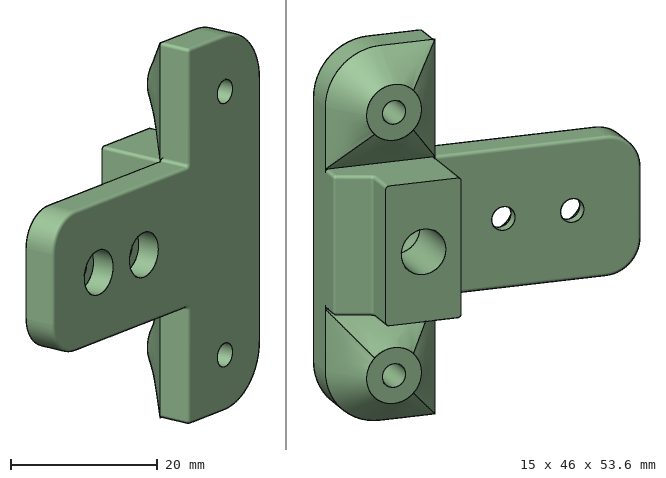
import cadquery as cq
import math

depth = 15.0
length = 46.0
height = 53.6
plate_thickness = 5.0
body_width = 15.95
arm_height = 20.0
arm_corner_radius = 5.0
edge_radius = 0.5

boss_tip_x = 4.7
boss_tip_diameter = 8.0
screw_hole_diameter = 3.4
arm_hole_offsets = (25.95, 35.95)
counterbore_diameter = 6.4
counterbore_floor = 1.6

step_width = 5.0
slope_front_x = 4.75
slope_back_x = 6.7
socket_diameter = 6.5
socket_offset = 10.5
socket_depth = 10.0
drill_point_angle = 118.0

plate_front_x = depth - plate_thickness
body_min_y = length - body_width
body_center_y = length - body_width / 2
body_corner_radius = 7.95
half_height = height / 2
half_arm = arm_height / 2
boss_center_z = half_height - body_width / 2


def section_plane(x):
    """YZ plane at the given X, with local axes along Y and Z."""
    return cq.Workplane("YZ", origin=(x, 0, 0))


def make_body():
    """Upright slab with large corners at +Y and small ones at -Y."""
    slab = (
        section_plane(plate_front_x)
        .center(body_center_y, 0)
        .rect(body_width, height)
        .extrude(plate_thickness)
    )
    slab = slab.edges("|X and >Y").fillet(body_corner_radius)
    return slab.edges("|X and <Y").fillet(edge_radius)


def make_arm():
    """Flat arm with a rounded outer end, running into the body."""
    arm = (
        section_plane(plate_front_x)
        .center(body_center_y / 2, 0)
        .rect(body_center_y, arm_height)
        .extrude(plate_thickness)
    )
    return arm.edges("|X and <Y").fillet(arm_corner_radius)


def make_plate():
    """Body and arm with blended inner corners; only the body keeps a sharp front rim."""
    plate = make_body().union(make_arm())
    for side in (-1, 1):
        inner_corner = (depth - plate_thickness / 2, body_min_y, side * half_arm)
        plate = plate.edges(cq.selectors.NearestToPointSelector(inner_corner)).fillet(edge_radius)
    plate = plate.faces("<X or >X").edges().fillet(edge_radius)
    body = make_body().faces(">X").edges().fillet(edge_radius)
    return plate.union(body)


def make_boss():
    """Upper boss: ruled transition from the plate outline to a round tip."""
    def tip_point(angle):
        radius = boss_tip_diameter / 2
        return cq.Vector(
            boss_tip_x,
            body_center_y + radius * math.cos(math.radians(angle)),
            boss_center_z + radius * math.sin(math.radians(angle)),
        )

    def base_point(y, z):
        return cq.Vector(plate_front_x, y, z)

    round_center_y = length - body_corner_radius
    round_center_z = half_height - body_corner_radius
    diagonal = body_corner_radius * math.sqrt(0.5)
    corner_middle = base_point(round_center_y + diagonal, round_center_z + diagonal)
    base_corners = [
        base_point(length, round_center_z),
        base_point(round_center_y, half_height),
        base_point(body_min_y, half_height),
        base_point(body_min_y, half_arm),
        base_point(length, half_arm),
    ]
    tip_angles = [0, 90, 135, 225, 315, 360]

    base_edges = [cq.Edge.makeThreePointArc(base_corners[0], corner_middle, base_corners[1])]
    for start, end in zip(base_corners[1:], base_corners[2:] + base_corners[:1]):
        base_edges.append(cq.Edge.makeLine(start, end))
    tip_edges = []
    for start, end in zip(tip_angles, tip_angles[1:]):
        middle = tip_point((start + end) / 2)
        tip_edges.append(cq.Edge.makeThreePointArc(tip_point(start), middle, tip_point(end)))

    wires = [cq.Wire.assembleEdges(base_edges), cq.Wire.assembleEdges(tip_edges)]
    return cq.Workplane(obj=cq.Solid.makeLoft(wires, True))


def make_block():
    """Central block with a sloped shoulder on its +Y side."""
    step_y = length - step_width
    block = (
        cq.Workplane("XY", origin=(0, 0, -half_arm))
        .moveTo(0, body_min_y)
        .lineTo(0, step_y)
        .lineTo(slope_front_x, step_y)
        .lineTo(slope_back_x, length)
        .lineTo(plate_front_x, length)
        .lineTo(plate_front_x, body_min_y)
        .close()
        .extrude(arm_height)
    )
    shoulder_crest = cq.selectors.NearestToPointSelector((slope_back_x, length, 0))
    block = block.edges("|Z").edges(shoulder_crest).fillet(edge_radius)
    shoulder_root = cq.selectors.NearestToPointSelector((slope_front_x, step_y, 0))
    block = block.edges("|Z").edges(shoulder_root).fillet(edge_radius)
    rim = block.faces("<Z or >Z").edges("not <X")
    return rim.edges("not >X").fillet(edge_radius)


def make_socket():
    """Blind drilled socket with a conical bottom."""
    radius = socket_diameter / 2
    tip_depth = radius / math.tan(math.radians(drill_point_angle / 2))
    return (
        cq.Workplane("XY")
        .polyline([(0, 0), (0, radius), (socket_depth, radius), (socket_depth + tip_depth, 0)])
        .close()
        .revolve(360, (0, 0), (1, 0))
        .translate((0, length - socket_offset, 0))
    )


def make_screw_holes():
    """Through holes in both bosses and along the arm, the latter counterbored from the back."""
    boss_centers = [(body_center_y, boss_center_z), (body_center_y, -boss_center_z)]
    arm_centers = [(length - offset, 0) for offset in arm_hole_offsets]
    holes = (
        section_plane(0)
        .pushPoints(boss_centers + arm_centers)
        .circle(screw_hole_diameter / 2)
        .extrude(depth)
    )
    counterbores = (
        section_plane(plate_front_x + counterbore_floor)
        .pushPoints(arm_centers)
        .circle(counterbore_diameter / 2)
        .extrude(plate_thickness - counterbore_floor)
    )
    return holes.union(counterbores)


boss = make_boss()
result = (
    make_plate()
    .union(boss)
    .union(boss.mirror("XY"))
    .union(make_block())
    .cut(make_socket())
    .cut(make_screw_holes())
)